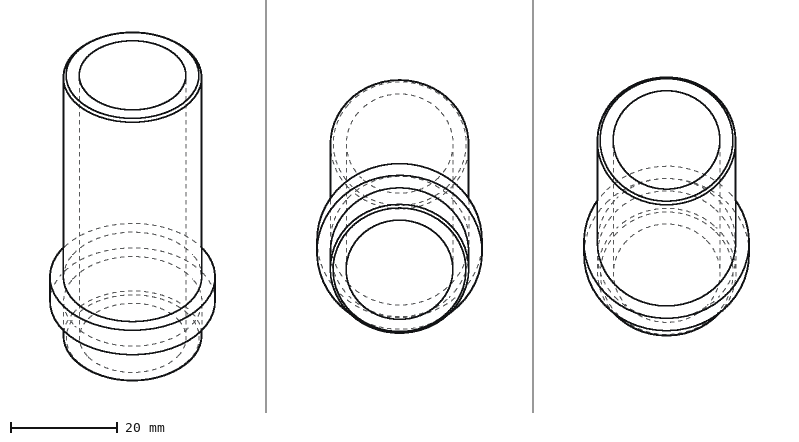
import cadquery as cq

total_height = 64.6
tube_diameter = 26.0
bore_diameter = 20.0
end_chamfer = 0.5

collar_diameter = 31.0
collar_bottom = 9.0
collar_height = 6.0

tube = (
    cq.Workplane("XY")
    .circle(tube_diameter / 2)
    .extrude(total_height)
    .faces("<Z or >Z")
    .edges()
    .chamfer(end_chamfer)
)

collar = (
    cq.Workplane("XY")
    .workplane(offset=collar_bottom)
    .circle(collar_diameter / 2)
    .extrude(collar_height)
)

bore = cq.Workplane("XY").circle(bore_diameter / 2).extrude(total_height)

result = tube.union(collar).cut(bore)